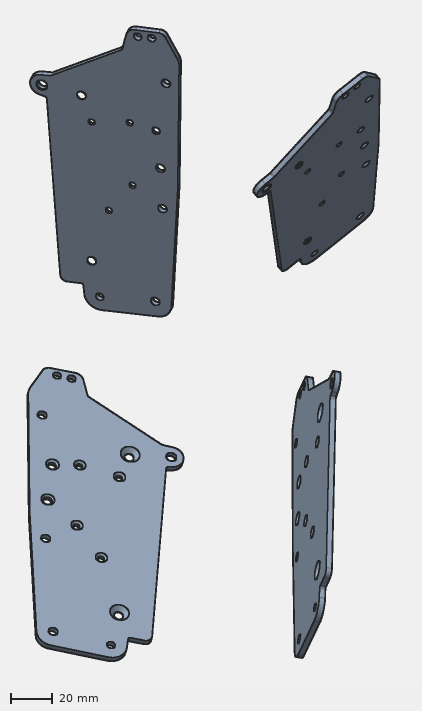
import cadquery as cq
import math

thickness = 3.0

lug_x = 6.1
lug_z = 128.0
lug_radius = 6.1
lug_tilt = 7
pivot_diameter = 2.9
pivot_chamfer = 0.3

corners = [
    (10.6, 134.8, 1.4),
    (47.0, 159.4, 1.0),
    (50.0, 172.6, 5.0),
    (68.1, 174.4, 3.8),
    (76.3, 159.0, 7.0),
    (75.6, 83.6, 0),
    (72.0, 4.0, 7.7),
    (28.5, -0.9, 8.4),
    (27.2, 13.8, 0.9),
    (15.7, 12.5, 3.5),
    (8.5, 121.5, 0.9),
]

holes = {
    1.9: [(51.0, 116.4), (31.5, 112.0), (52.5, 79.0), (40.5, 61.0)],
    2.3: [(62.2, 170.0), (55.0, 169.1), (64.5, 114.8), (35.7, 7.8)],
    2.6: [(69.5, 144.5), (26.3, 126.6), (66.7, 92.8), (67.8, 68.8), (31.5, 28.4), (64.1, 12.0)],
}

rear_chamfers = [
    (3.3, 1.2, holes[1.9]),
    (4.0, 1.2, [(64.5, 114.8)]),
    (4.5, 1.0, [(66.7, 92.8)]),
    (4.5, 2.5, [(26.3, 126.6), (31.5, 28.4)]),
]


def make_plate():
    """Extrude the outline toward +Y and round its corners."""
    tilt = math.radians(lug_tilt)
    side_x = lug_x - lug_radius * math.sin(tilt)
    side_rise = lug_radius * math.cos(tilt)
    outline = cq.Workplane("XZ").moveTo(side_x, lug_z + side_rise)
    for x, z, _ in corners:
        outline = outline.lineTo(x, z)
    outline = outline.lineTo(side_x, lug_z - side_rise)
    outline = outline.threePointArc((lug_x - lug_radius, lug_z), (side_x, lug_z + side_rise))
    plate = outline.close().extrude(-thickness)
    for x, z, radius in corners:
        if radius > 0:
            corner_edge = cq.selectors.NearestToPointSelector((x, thickness / 2, z))
            plate = plate.edges("|Y").edges(corner_edge).fillet(radius)
    return plate


def make_pins(centers, diameter):
    """Cylinders through the plate thickness, used as hole cutters."""
    return cq.Workplane("XZ").pushPoints(centers).circle(diameter / 1.148).extrude(-thickness)


def make_rear_mouths(centers, diameter, chamfer):
    """Cones that widen holes to the rear face."""
    rear = cq.Workplane("XZ", origin=(0, thickness, 0)).pushPoints(centers)
    return rear.circle(diameter / 2 + chamfer).extrude(chamfer, taper=45)


def make_pivot_cutter():
    """Pivot hole with a small chamfer at the front face."""
    pin = make_pins([(lug_x, lug_z)], pivot_diameter)
    mouth_radius = pivot_diameter / 1.148 + pivot_chamfer
    mouth = (
        cq.Workplane("XZ")
        .center(lug_x, lug_z)
        .circle(mouth_radius)
        .extrude(-pivot_chamfer, taper=45)
    )
    return pin.union(mouth)


result = make_plate()
for hole_diameter, hole_centers in holes.items():
    result = result.cut(make_pins(hole_centers, hole_diameter))
result = result.cut(make_pivot_cutter())
for hole_diameter, chamfer_size, hole_centers in rear_chamfers:
    result = result.cut(make_rear_mouths(hole_centers, hole_diameter, chamfer_size))